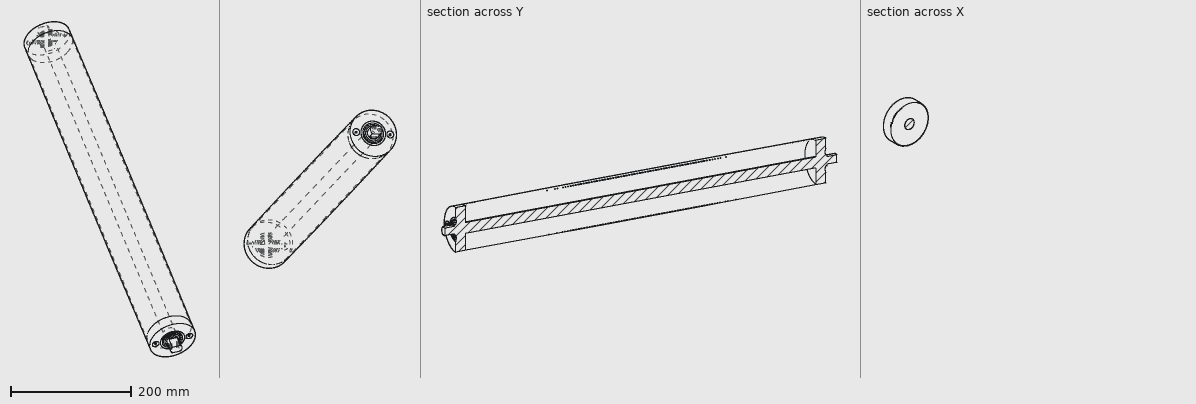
import cadquery as cq

total_length = 741.0
body_length = 699.5

crown_length = 236.0
crown_diameter = 81.5
end_diameter = 80.0
bore_diameter = 77.0

flange_width = 2.0
cap_depth = 19.0

shaft_diameter = 20.0
flat_thickness = 14.0
flat_length = 18.5

hub_recess_diameter = 42.0
hub_recess_depth = 1.0
seal_outer_diameter = 35.5
seal_floor_diameter = 31.0
seal_inner_diameter = 26.0
seal_depth = 1.5

seat_spacing = 58.5
seat_diameter = 12.0
seat_depth = 1.0
seat_hole_diameter = 3.0
seat_hole_depth = 4.0

half_total = total_length / 2
half_body = body_length / 2
half_crown = crown_length / 2
half_drum = half_body - flange_width
half_cavity = half_body - cap_depth
hub_floor = half_body - hub_recess_depth
seal_floor = half_body - seal_depth
seat_floor = half_body - seat_depth


def revolve_about_shaft(profile):
    """Turn a closed (x, radius) profile about the X axis."""
    return cq.Workplane("XY").polyline(profile).close().revolve(360, (0, 0, 0), (1, 0, 0))


def drum_and_shaft():
    half_profile = [
        (half_crown, crown_diameter / 2),
        (half_drum, end_diameter / 2),
        (half_body, end_diameter / 2),
        (half_body, hub_recess_diameter / 2),
        (hub_floor, hub_recess_diameter / 2),
        (hub_floor, seal_outer_diameter / 2),
        (seal_floor, seal_floor_diameter / 2),
        (seal_floor, seal_inner_diameter / 2),
        (hub_floor, seal_inner_diameter / 2),
        (hub_floor, shaft_diameter / 2),
        (half_total, shaft_diameter / 2),
        (half_total, 0),
    ]
    mirrored_profile = [(-x, radius) for x, radius in reversed(half_profile)]
    return revolve_about_shaft(mirrored_profile + half_profile)


def drum_cavity():
    """Closed hollow between the caps, around the through shaft."""
    return revolve_about_shaft([
        (-half_cavity, shaft_diameter / 2),
        (-half_cavity, bore_diameter / 2),
        (half_cavity, bore_diameter / 2),
        (half_cavity, shaft_diameter / 2),
    ])


def shaft_flats():
    cut_height = (shaft_diameter - flat_thickness) / 2
    flat_x = half_total - flat_length / 2
    flat_z = flat_thickness / 2 + cut_height / 2
    return (
        cq.Workplane("XY")
        .pushPoints([(-flat_x, 0), (flat_x, 0)])
        .box(flat_length, shaft_diameter, cut_height)
        .translate((0, 0, flat_z))
        .mirror("XY", union=True)
    )


def end_pockets(diameter, top, depth):
    """Round pockets at both screw positions, sunk from x = top, on both ends."""
    pockets = (
        cq.Workplane("YZ", origin=(top - depth, 0, 0))
        .pushPoints([(-seat_spacing / 2, 0), (seat_spacing / 2, 0)])
        .circle(diameter / 2)
        .extrude(depth)
    )
    return pockets.mirror("YZ", union=True)


result = (
    drum_and_shaft()
    .cut(drum_cavity())
    .cut(shaft_flats())
    .cut(end_pockets(seat_diameter, half_body, seat_depth))
    .cut(end_pockets(seat_hole_diameter, seat_floor, seat_hole_depth))
)